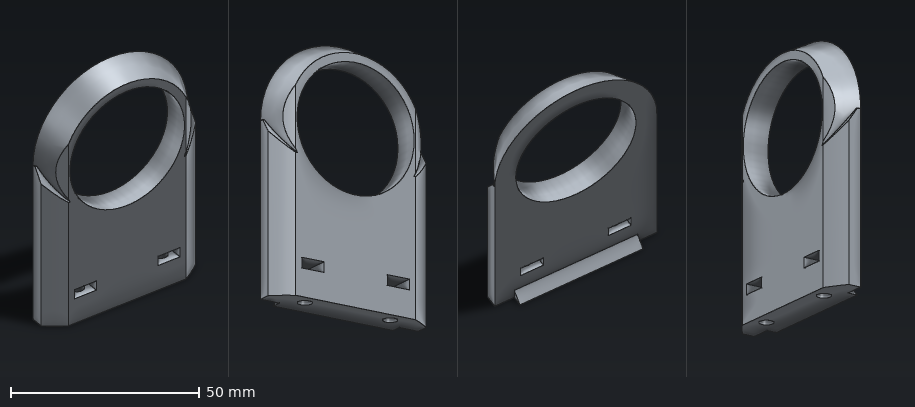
import cadquery as cq

WIDTH = 50.0
THICKNESS = 8.0
RADIUS = WIDTH / 2
CENTER_Z = 50.0
HOLE_DIAMETER = 37.0

STRAIGHT_SIDE = 3.85
REAR_HALF_WIDTH = 19.0
BULGE_X = (STRAIGHT_SIDE + THICKNESS) / 2
BULGE_HALF_WIDTH = 22.3

REAR_RADIUS = 21.0

SHOULDER_FLAT = 1.1
SHOULDER_DROP = 10.0

SLOT_WIDTH = 7.0
SLOT_HEIGHT = 3.0
SLOT_CENTER_Y = 13.5
SLOT_CENTER_Z = 9.5

SCREW_HOLE_DIAMETER = 4.0

FOOT_WIDTH = 38.0
FOOT_SIZE = 3.0


def make_section_prism():
    """Plan outline with rounded rear corners, extruded beyond the head."""
    return (
        cq.Workplane("XY")
        .moveTo(0, -RADIUS)
        .lineTo(STRAIGHT_SIDE, -RADIUS)
        .threePointArc((BULGE_X, -BULGE_HALF_WIDTH), (THICKNESS, -REAR_HALF_WIDTH))
        .lineTo(THICKNESS, REAR_HALF_WIDTH)
        .threePointArc((BULGE_X, BULGE_HALF_WIDTH), (STRAIGHT_SIDE, RADIUS))
        .lineTo(0, RADIUS)
        .close()
        .extrude(CENTER_Z + RADIUS)
    )


def make_head():
    """Cone frustum that narrows from the front face to the rear face."""
    return (
        cq.Workplane("XZ")
        .moveTo(0, CENTER_Z)
        .lineTo(0, CENTER_Z + RADIUS)
        .lineTo(THICKNESS, CENTER_Z + REAR_RADIUS)
        .lineTo(THICKNESS, CENTER_Z)
        .close()
        .revolve(360, (0, CENTER_Z, 0), (1, CENTER_Z, 0))
    )


def make_lower_block():
    """Block below the head, topped by the sloping shoulder."""
    return (
        cq.Workplane("XZ")
        .moveTo(0, 0)
        .lineTo(0, CENTER_Z)
        .lineTo(SHOULDER_FLAT, CENTER_Z)
        .lineTo(THICKNESS, CENTER_Z - SHOULDER_DROP)
        .lineTo(THICKNESS, 0)
        .close()
        .extrude(RADIUS, both=True)
    )


def make_hole():
    return (
        cq.Workplane("YZ")
        .center(0, CENTER_Z)
        .circle(HOLE_DIAMETER / 2)
        .extrude(THICKNESS)
    )


def make_slots():
    return (
        cq.Workplane("YZ")
        .pushPoints([(side * SLOT_CENTER_Y, SLOT_CENTER_Z) for side in (-1, 1)])
        .rect(SLOT_WIDTH, SLOT_HEIGHT)
        .extrude(THICKNESS)
    )


def make_screw_holes():
    return (
        cq.Workplane("XY")
        .pushPoints([(THICKNESS / 2, side * SLOT_CENTER_Y) for side in (-1, 1)])
        .circle(SCREW_HOLE_DIAMETER / 2)
        .extrude(SLOT_CENTER_Z)
    )


def make_foot():
    return (
        cq.Workplane("XZ")
        .polyline([(0, 0), (-FOOT_SIZE, 0), (0, FOOT_SIZE)])
        .close()
        .extrude(FOOT_WIDTH / 2, both=True)
    )


plate = make_lower_block().union(make_head()).intersect(make_section_prism())
plate = plate.cut(make_hole()).cut(make_slots()).cut(make_screw_holes())
result = plate.union(make_foot())